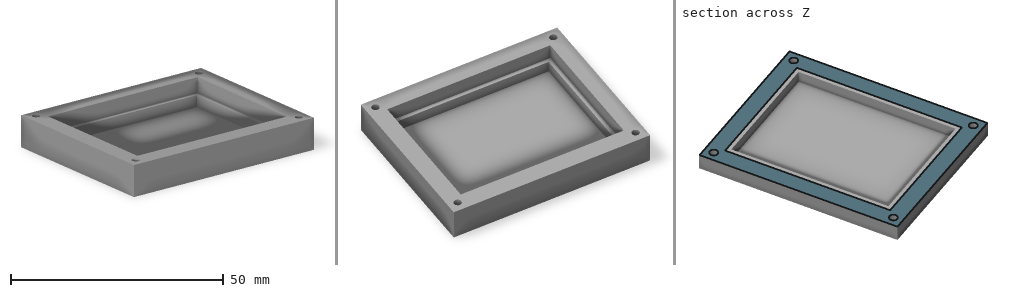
import cadquery as cq

width = 43.5
length = 53.5
height = 8.0

wall = 4.55
ledge = 1.0
upper_depth = 4.0
lower_depth = 3.0

hole_diameter = 2.0
hole_inset = 2.5


def add_recess(body, margin, depth):
    """Cut a centred rectangular recess from the top, leaving a margin all round."""
    return (
        body.faces(">Z").workplane(origin=(0, 0, height))
        .rect(width - 2 * margin, length - 2 * margin)
        .cutBlind(-depth)
    )


def add_corner_holes(body):
    """Drill a through hole in each corner of the frame."""
    return (
        body.faces(">Z").workplane(origin=(0, 0, height))
        .rect(width - 2 * hole_inset, length - 2 * hole_inset, forConstruction=True)
        .vertices()
        .hole(hole_diameter)
    )


result = cq.Workplane("XY").box(width, length, height, centered=(True, True, False))
result = add_recess(result, wall, upper_depth)
result = add_recess(result, wall + ledge, upper_depth + lower_depth)
result = add_corner_holes(result)